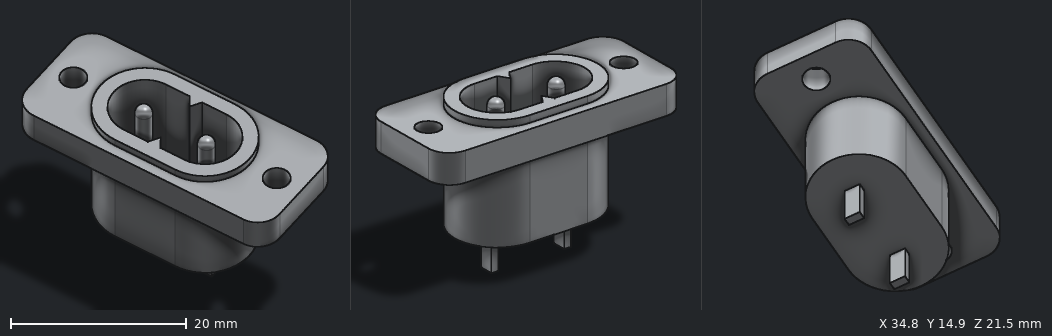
import cadquery as cq

flange_length = 34.8
flange_width = 14.9
flange_thickness = 4.07
flange_corner_radius = 3.0
screw_hole_diameter = 3.2
screw_hole_offset = 14.0

body_length = 20.5
body_width = 12.25
body_below_flange = 11.1
lip_height = 0.97

cavity_length = 16.8
cavity_width = 8.53
cavity_depth = 12.0
key_width = 1.67
key_height = 1.35

contact_diameter = 2.05
contact_offset = 4.3

tab_thickness = 1.0
tab_width = 2.0
tab_length = 5.35
tab_offset = 5.22

flange_bottom = body_below_flange
body_height = body_below_flange + flange_thickness + lip_height
cavity_floor = body_height - cavity_depth


def round_ended_block(length, width, height, bottom):
    return cq.Workplane("XY").workplane(offset=bottom).slot2D(length, width).extrude(height)


def make_flange():
    return (
        cq.Workplane("XY")
        .workplane(offset=flange_bottom)
        .rect(flange_length, flange_width)
        .extrude(flange_thickness)
        .edges("|Z")
        .fillet(flange_corner_radius)
    )


def make_screw_holes():
    return (
        cq.Workplane("XY")
        .workplane(offset=flange_bottom)
        .pushPoints([(-screw_hole_offset, 0), (screw_hole_offset, 0)])
        .circle(screw_hole_diameter / 2)
        .extrude(flange_thickness)
    )


def make_key(side):
    wall = side * cavity_width / 2
    tip = wall - side * key_height
    return (
        cq.Workplane("XY")
        .workplane(offset=cavity_floor)
        .polyline([(-key_width / 2, wall), (key_width / 2, wall), (0, tip)])
        .close()
        .extrude(cavity_depth)
    )


def make_cavity():
    cavity = round_ended_block(cavity_length, cavity_width, cavity_depth, cavity_floor)
    for side in (-1, 1):
        cavity = cavity.cut(make_key(side))
    return cavity


def make_contact(x):
    radius = contact_diameter / 2
    dome_center = body_height - radius
    shaft = (
        cq.Workplane("XY")
        .workplane(offset=cavity_floor)
        .center(x, 0)
        .circle(radius)
        .extrude(dome_center - cavity_floor)
    )
    dome = cq.Workplane("XY").sphere(radius).translate((x, 0, dome_center))
    return shaft.union(dome)


def make_tab(x):
    return (
        cq.Workplane("XY")
        .center(x, 0)
        .rect(tab_thickness, tab_width)
        .extrude(-tab_length)
    )


result = round_ended_block(body_length, body_width, body_height, 0)
result = result.union(make_flange()).cut(make_screw_holes()).cut(make_cavity())
for side in (-1, 1):
    result = result.union(make_contact(side * contact_offset))
    result = result.union(make_tab(side * tab_offset))